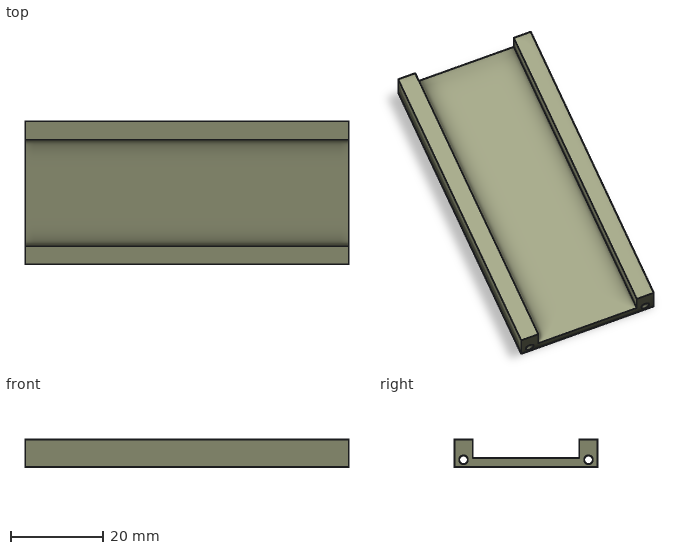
import cadquery as cq

length = 70.0
width = 31.0
height = 6.0

rail_width = 4.0
floor_thickness = 2.0

bore_diameter = 1.8
bore_height = 1.6


def make_tray():
    """U-shaped tray: a thin floor with a rail along each long side."""
    block = cq.Workplane("XY").box(length, width, height, centered=(True, True, False))
    channel = (
        cq.Workplane("XY")
        .workplane(offset=floor_thickness)
        .rect(length, width - 2 * rail_width)
        .extrude(height - floor_thickness)
    )
    return block.cut(channel)


def make_rail_bores():
    """One through bore per rail, centred across the rail width."""
    bore_offset = (width - rail_width) / 2
    return (
        cq.Workplane("YZ")
        .workplane(offset=-length / 2)
        .pushPoints([(side * bore_offset, bore_height) for side in (-1, 1)])
        .circle(bore_diameter / 2)
        .extrude(length)
    )


result = make_tray().cut(make_rail_bores())